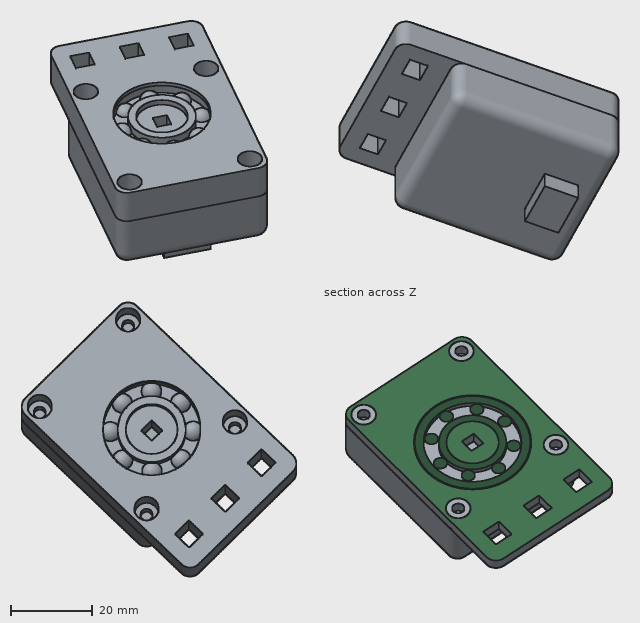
import cadquery as cq
import math

lid_length = 60.0
lid_width = 39.0
lid_height = 9.0
corner_radius = 3.0
total_height = 27.85

case_length = 45.0
bottom_edge_radius = 2.95
plug_drop = 5.0
case_height = total_height - lid_height - plug_drop

axis_x = 32.5
bearing_diameter = 28.55
outer_race_bore = 24.0
inner_race_diameter = 16.75
bearing_bore = 12.7
ball_diameter = 5.15
ball_count = 8
ball_top_gap = 0.5
web_depth = 2.3
lip_thickness = 1.0
seat_diameter = 28.8
bearing_width = ball_diameter + 2 * ball_top_gap
ball_circle_radius = (outer_race_bore + inner_race_diameter) / 4

shaft_top_gap = 1.5
socket_side = 3.65

square_hole_side = 4.85
square_hole_pitch = 12.7
square_hole_count = 3
square_hole_x = axis_x - 2 * square_hole_pitch

screw_margin = 4.0
screw_hole_diameter = 3.0
counterbore_diameter = 6.0
counterbore_depth = 6.0

plug_length = 9.0
plug_width = 12.0
plug_x = 49.55

case_x = lid_length - case_length / 2
bearing_top = lid_height - lip_thickness
bearing_bottom = bearing_top - bearing_width
screw_spacing_x = case_length - 2 * screw_margin
screw_spacing_y = lid_width - 2 * screw_margin


def disc(diameter, bottom, top):
    """Upright cylinder on the bearing axis between two levels."""
    return cq.Workplane("XY", origin=(axis_x, 0, bottom)).circle(diameter / 2).extrude(top - bottom)


def make_lid():
    """Plate with mounting holes, screw holes and a bearing seat open to the underside."""
    plate = cq.Workplane("XY").box(lid_length, lid_width, lid_height, centered=(False, True, False))
    plate = plate.edges("|Z").fillet(corner_radius)
    square_holes = (
        cq.Workplane("XY", origin=(square_hole_x, 0, 0))
        .rarray(0.6, square_hole_pitch, 1, square_hole_count)
        .rect(square_hole_side, square_hole_side)
        .extrude(lid_height)
    )
    screw_holes = (
        cq.Workplane("XY", origin=(case_x, 0, lid_height))
        .rarray(screw_spacing_x, screw_spacing_y, 2, 2)
    )
    counterbores = screw_holes.circle(counterbore_diameter / 2).extrude(-counterbore_depth)
    bores = screw_holes.circle(screw_hole_diameter / 2).extrude(-lid_height)
    window = disc(outer_race_bore, 0, lid_height)
    seat = disc(seat_diameter, 0, bearing_top)
    return plate.cut(square_holes).cut(counterbores).cut(bores).cut(window).cut(seat)


def make_case():
    """Block below the lid, rounded at its corners and along its bottom edge."""
    block = cq.Workplane("XY", origin=(case_x, 0, -case_height)).box(
        case_length, lid_width, case_height, centered=(True, True, False)
    )
    return block.edges("|Z").fillet(corner_radius).faces("<Z").edges().fillet(bottom_edge_radius)


def make_bearing():
    """One-piece bearing: outer race, inner race, web and balls."""
    races = disc(bearing_diameter, bearing_bottom, bearing_top)
    gap = disc(outer_race_bore, bearing_bottom, bearing_top)
    gap = gap.cut(disc(inner_race_diameter, bearing_bottom, bearing_top))
    web = gap.intersect(disc(outer_race_bore, bearing_bottom + web_depth, bearing_top - web_depth))
    body = races.cut(gap).union(web)
    for i in range(ball_count):
        angle = 2 * math.pi * i / ball_count
        center = (
            axis_x + ball_circle_radius * math.cos(angle),
            ball_circle_radius * math.sin(angle),
            (bearing_top + bearing_bottom) / 2,
        )
        body = body.union(cq.Workplane("XY", origin=center).sphere(ball_diameter / 2))
    return body.cut(disc(bearing_bore, bearing_bottom, bearing_top))


def make_shaft():
    """Round shaft with a square hole along its axis."""
    shaft_top = bearing_top - shaft_top_gap
    shaft = disc(bearing_bore, 0, shaft_top)
    socket = cq.Workplane("XY", origin=(axis_x, 0, 0)).rect(socket_side, socket_side).extrude(shaft_top)
    return shaft.cut(socket)


def make_plug():
    """Rectangular block hanging from the case."""
    return cq.Workplane("XY", origin=(plug_x, 0, -case_height - plug_drop)).box(
        plug_length, plug_width, plug_drop, centered=(True, True, False)
    )


lid = make_lid()
case = make_case()
bearing = make_bearing()
shaft = make_shaft()
plug = make_plug()

result = cq.Compound.makeCompound([lid.val(), case.val(), bearing.val(), shaft.val(), plug.val()])